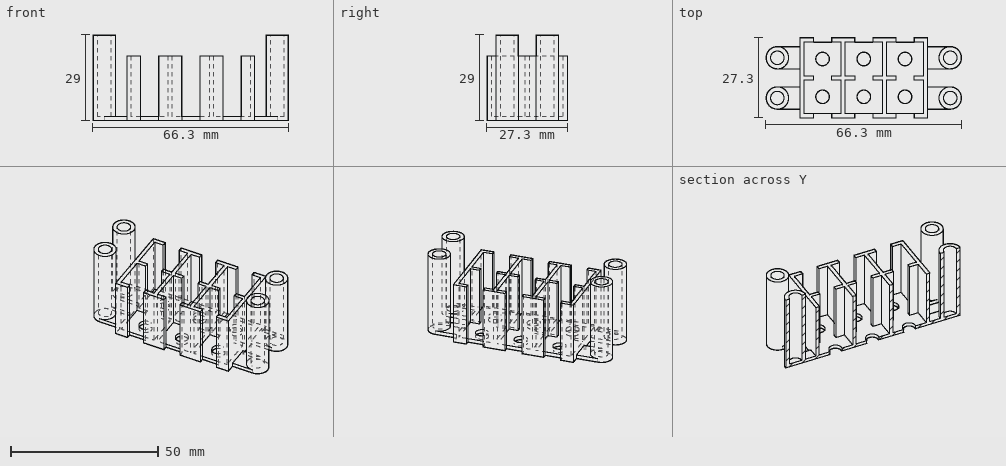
import cadquery as cq

length = 66.3
depth = 27.3
post_height = 29.0

cell_count = 3
cell_pitch = 14.0
wall_thickness = 1.4
wall_height = 21.95
flange_thickness = 1.5
flange_reach = 3.25
floor_thickness = 1.4
floor_hole_diameter = 4.5

post_diameter = 7.6
post_bore_diameter = 4.6
post_spacing = 13.65

row_length = cell_count * cell_pitch
inner_depth = depth - 2 * flange_thickness
wall_xs = [i * cell_pitch - row_length / 2 for i in range(cell_count + 1)]
cell_xs = [x + cell_pitch / 2 for x in wall_xs[:-1]]
hole_y = (inner_depth + wall_thickness) / 4
post_x = (length - post_diameter) / 2
post_centres = [(sx * post_x, sy * post_spacing / 2) for sx in (-1, 1) for sy in (-1, 1)]


def block(x_min, x_max, y_centre, y_size, height):
    """Box standing on the base plane."""
    return (
        cq.Workplane("XY")
        .center((x_min + x_max) / 2, y_centre)
        .rect(x_max - x_min, y_size)
        .extrude(height)
    )


def make_wall(x, reach_left, reach_right):
    """Cross wall with a flange at each end and a rib at its middle."""
    left_face = x - wall_thickness / 2
    right_face = x + wall_thickness / 2
    wall = block(left_face, right_face, 0, depth, wall_height)
    flange_y = (depth - flange_thickness) / 2
    crosspieces = (
        (-flange_y, flange_thickness),
        (0, wall_thickness),
        (flange_y, flange_thickness),
    )
    for y, thickness in crosspieces:
        crosspiece = block(left_face - reach_left, right_face + reach_right, y, thickness, wall_height)
        wall = wall.union(crosspiece)
    return wall


body = block(wall_xs[0], wall_xs[-1], 0, inner_depth, floor_thickness)
for y in (-post_spacing / 2, post_spacing / 2):
    body = body.union(block(-post_x, post_x, y, post_diameter, floor_thickness))

for x in wall_xs:
    reach_left = 0 if x == wall_xs[0] else flange_reach
    reach_right = 0 if x == wall_xs[-1] else flange_reach
    body = body.union(make_wall(x, reach_left, reach_right))

posts = cq.Workplane("XY").pushPoints(post_centres).circle(post_diameter / 2).extrude(post_height)
bores = (
    cq.Workplane("XY")
    .workplane(offset=floor_thickness)
    .pushPoints(post_centres)
    .circle(post_bore_diameter / 2)
    .extrude(post_height - floor_thickness)
)

hole_centres = [(x, y) for x in cell_xs for y in (-hole_y, hole_y)]
floor_holes = (
    cq.Workplane("XY").pushPoints(hole_centres).circle(floor_hole_diameter / 2).extrude(floor_thickness)
)

result = body.union(posts).cut(bores).cut(floor_holes)